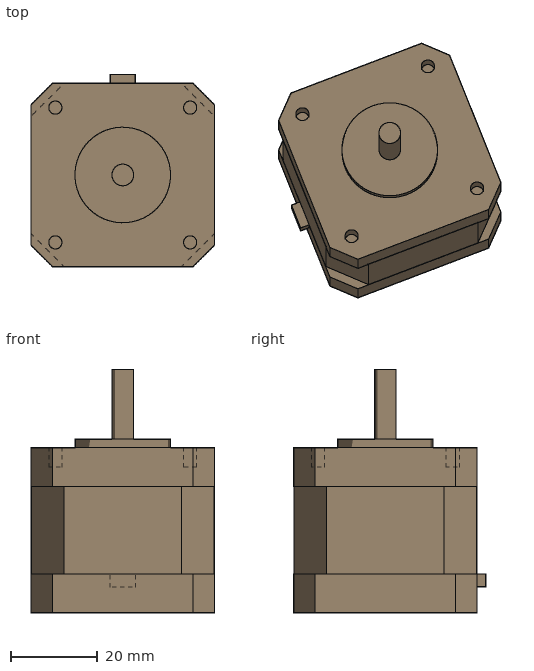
import cadquery as cq

cap_width = 42.3
cap_chamfer = 5.0
cap_height = 8.95
body_width = 42.15
body_chamfer = 7.55
body_height = 20.1
boss_diameter = 22.0
boss_height = 1.95
shaft_diameter = 5.0
total_height = 56.0
hole_diameter = 3.0
hole_spacing = 31.0
hole_depth = 4.5
connector_width = 5.8
connector_height = 3.0
connector_reach = 2.0

body_top = cap_height + body_height
housing_top = body_top + cap_height
boss_top = housing_top + boss_height


def chamfered_block(width, chamfer, bottom, height):
    """Square block with its four vertical edges chamfered."""
    block = cq.Workplane("XY", origin=(0, 0, bottom)).rect(width, width).extrude(height)
    return block.edges("|Z").chamfer(chamfer)


def cylinder(diameter, bottom, height):
    """Upright cylinder on the motor axis."""
    return cq.Workplane("XY", origin=(0, 0, bottom)).circle(diameter / 2).extrude(height)


def connector():
    """Plug block on the +Y face, flush with the top of the lower cap."""
    return cq.Workplane("XY").box(
        connector_width,
        cap_width / 2 + connector_reach,
        connector_height,
        centered=(True, False, False),
    ).translate((0, 0, cap_height - connector_height))


def mounting_holes():
    """Four blind screw holes sunk into the upper cap."""
    return (
        cq.Workplane("XY", origin=(0, 0, housing_top))
        .rect(hole_spacing, hole_spacing, forConstruction=True)
        .vertices()
        .circle(hole_diameter / 2)
        .extrude(-hole_depth)
    )


lower_cap = chamfered_block(cap_width, cap_chamfer, 0, cap_height)
body = chamfered_block(body_width, body_chamfer, cap_height, body_height)
upper_cap = chamfered_block(cap_width, cap_chamfer, body_top, cap_height)
boss = cylinder(boss_diameter, housing_top, boss_height)
shaft = cylinder(shaft_diameter, boss_top, total_height - boss_top)

housing = lower_cap.union(body).union(upper_cap).union(connector())
result = housing.union(boss).union(shaft).cut(mounting_holes())